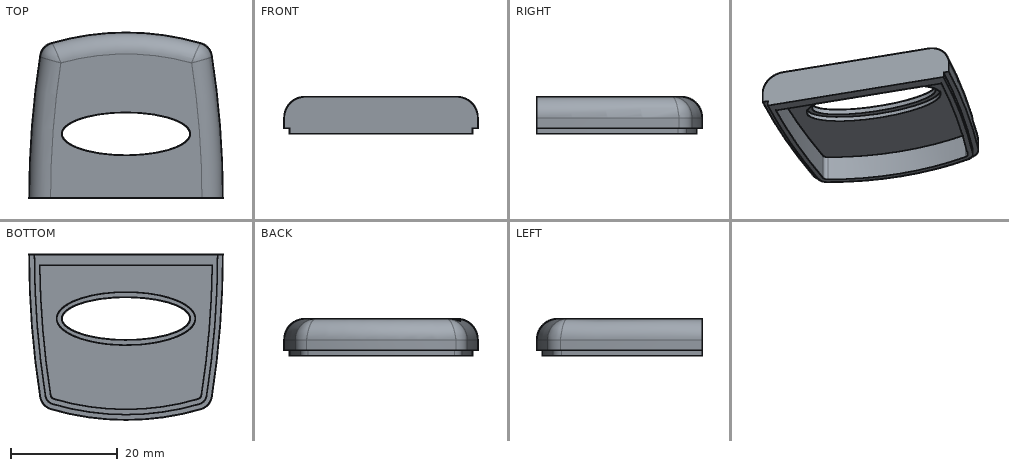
import cadquery as cq

width = 36.4
depth = 31.1
height = 7.0

edge_radius = 4.0
corner_radius = 3.0
corner_x = 13.18
corner_y = 26.2

lip_height = 1.02
lip_inset = 1.02

top_thickness = 2.0
wall_thickness = 2.0

window_length = 24.02
window_width = 8.0
window_y = 12.05
rebate_margin = 1.0
rebate_depth = 0.9


def plan_slab(inset, bottom, top):
    """Slab with the bowed plan outline moved inwards by inset, mirrored about the XZ plane."""
    side_x = width / 2 - corner_radius
    crown_y = depth - corner_radius
    return (
        cq.Workplane("XY", origin=(0, 0, bottom))
        .moveTo(-corner_x, -corner_y)
        .threePointArc((-side_x, 0), (-corner_x, corner_y))
        .threePointArc((0, crown_y), (corner_x, corner_y))
        .threePointArc((side_x, 0), (corner_x, -corner_y))
        .threePointArc((0, -crown_y), (-corner_x, -corner_y))
        .close()
        .offset2D(corner_radius - inset, "arc")
        .extrude(top - bottom)
    )


def back_of(body, front_y):
    """Keep only the portion of body behind the plane y = front_y."""
    keeper = cq.Workplane("XY").box(2 * width, 2 * depth, 4 * height, centered=(True, False, True))
    return body.intersect(keeper.translate((0, front_y, 0)))


def window_cutter(margin, top):
    """Elliptical cutter, grown by margin all round, from the bottom up to top."""
    return (
        cq.Workplane("XY")
        .center(0, window_y)
        .ellipse(window_length / 2 + margin, window_width / 2 + margin)
        .extrude(top)
    )


cover = plan_slab(0, lip_height, height).faces(">Z").edges().fillet(edge_radius)
lip = plan_slab(lip_inset, 0, lip_height)
body = back_of(cover.union(lip), 0)

cavity = back_of(plan_slab(wall_thickness, 0, height - top_thickness), wall_thickness)

window = window_cutter(0, height)
rebate = window_cutter(rebate_margin, height - top_thickness + rebate_depth)

result = body.cut(cavity).cut(window).cut(rebate)